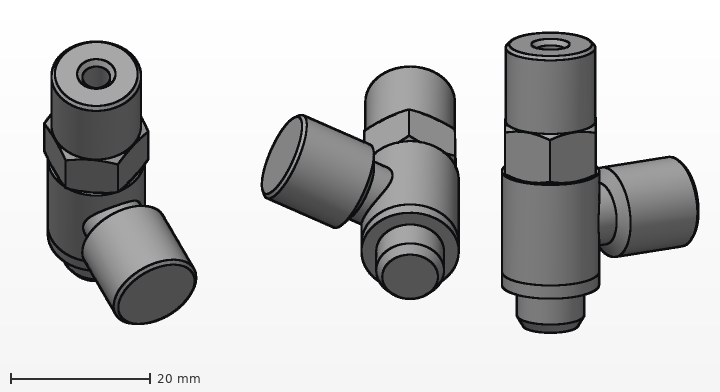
import cadquery as cq
import math


washer_bottom = 6.0
housing_bottom = 8.0
housing_top = 23.0
hex_top = 30.5
total_height = 42.0

shank_diameter = 9.75
tip_chamfer_height = 1.5
tip_chamfer_width = tip_chamfer_height * math.tan(math.radians(30))
hex_across_flats = 13.0
hex_corner_diameter = hex_across_flats / math.cos(math.radians(30))
hex_face_diameter = 12.9
hex_chamfer_height = (hex_corner_diameter - hex_face_diameter) / 2 * math.tan(math.radians(30))
head_diameter = 12.9
rim_chamfer = 0.5
hole_diameter = 4.0
countersink_diameter = 5.5
countersink_depth = (countersink_diameter - hole_diameter) / 2
hole_depth = total_height - hex_top

housing_diameter = 14.0
branch_axis_z = (housing_bottom + housing_top) / 2
neck_diameter = 9.0
neck_end = 8.35
branch_diameter = 13.0
branch_end = 21.0
branch_cone_length = (branch_diameter - neck_diameter) / 2 * math.tan(math.radians(30))


def cylinder(diameter, bottom, top):
    """Solid cylinder on the Z axis between two levels."""
    return cq.Workplane("XY").workplane(offset=bottom).circle(diameter / 2).extrude(top - bottom)


def revolve_about_z(profile):
    """Solid of revolution from (radius, height) points."""
    return cq.Workplane("XZ").polyline(profile).close().revolve(360, (0, 0), (0, 1))


def make_hex():
    """Hexagon with corners on the X axis, chamfered at both ends."""
    height = hex_top - housing_top
    prism = (
        cq.Workplane("XY")
        .workplane(offset=housing_top)
        .polygon(6, hex_corner_diameter)
        .extrude(height)
    )
    face_radius = hex_face_diameter / 2
    corner_radius = hex_corner_diameter / 2
    chamfer_envelope = revolve_about_z([
        (0, housing_top),
        (face_radius, housing_top),
        (corner_radius, housing_top + hex_chamfer_height),
        (corner_radius, hex_top - hex_chamfer_height),
        (face_radius, hex_top),
        (0, hex_top),
    ])
    return prism.intersect(chamfer_envelope)


def make_bolt_hole():
    """Blind hole in the top face with a 45 degree countersink."""
    hole_radius = hole_diameter / 2
    return revolve_about_z([
        (0, total_height - hole_depth),
        (hole_radius, total_height - hole_depth),
        (hole_radius, total_height - countersink_depth),
        (countersink_diameter / 2, total_height),
        (0, total_height),
    ])


def make_bolt():
    """Chamfered shank, hexagon and cylindrical head in one solid."""
    shank_radius = shank_diameter / 2
    shank = revolve_about_z([
        (0, 0),
        (shank_radius - tip_chamfer_width, 0),
        (shank_radius, tip_chamfer_height),
        (shank_radius, housing_top),
        (0, housing_top),
    ])
    head_radius = head_diameter / 2
    head = revolve_about_z([
        (0, hex_top),
        (head_radius, hex_top),
        (head_radius, total_height - rim_chamfer),
        (head_radius - rim_chamfer, total_height),
        (0, total_height),
    ])
    return shank.union(make_hex()).union(head).cut(make_bolt_hole())


def make_branch():
    """Neck, cone and outlet cylinder revolved about the branch axis."""
    branch_radius = branch_diameter / 2
    neck_radius = neck_diameter / 2
    return (
        cq.Workplane("XZ", origin=(0, 0, branch_axis_z))
        .polyline([
            (0, 0),
            (0, neck_radius),
            (neck_end, neck_radius),
            (neck_end + branch_cone_length, branch_radius),
            (branch_end - rim_chamfer, branch_radius),
            (branch_end, branch_radius - rim_chamfer),
            (branch_end, 0),
        ])
        .close()
        .revolve(360, (0, 0), (1, 0))
    )


def make_housing():
    """Round housing with its branch, bored to fit the shank."""
    body = cylinder(housing_diameter, housing_bottom, housing_top).union(make_branch())
    return body.cut(cylinder(shank_diameter, housing_bottom, housing_top))


def make_washer():
    """Sealing washer around the shank, under the housing."""
    ring = cylinder(housing_diameter, washer_bottom, housing_bottom)
    return ring.cut(cylinder(shank_diameter, washer_bottom, housing_bottom))


bolt = make_bolt()
housing = make_housing()
washer = make_washer()

result = cq.Compound.makeCompound([bolt.val(), housing.val(), washer.val()])